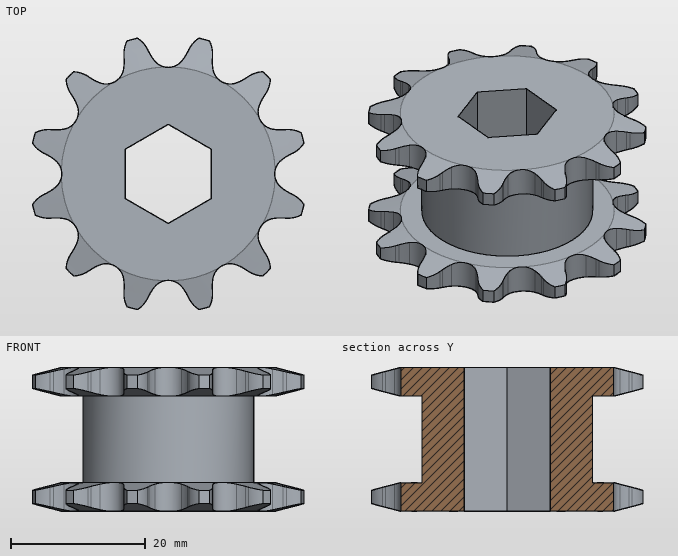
import cadquery as cq
import math

CHAIN_PITCH = 9.525
ROLLER_DIAMETER = 5.08
TOOTH_COUNT = 12
TIP_RADIUS = 20.655

PLATE_THICKNESS = 4.27
HUB_LENGTH = 3 * PLATE_THICKNESS
HUB_DIAMETER = 25.4
HEX_ACROSS_FLATS = 12.7
HEX_SIDES = 6

RELIEF_START_RADIUS = 15.875
TIP_THICKNESS = 1.97

TOOTH_ANGLE = 360 / TOOTH_COUNT
HALF_TOOTH_ANGLE = math.radians(TOOTH_ANGLE / 2)
PITCH_RADIUS = CHAIN_PITCH / (2 * math.sin(HALF_TOOTH_ANGLE))
UPPER_PLATE_Z = PLATE_THICKNESS + HUB_LENGTH
TOTAL_HEIGHT = UPPER_PLATE_Z + PLATE_THICKNESS

SEATING_CLEARANCE = 0.0762
SEATING_RADIUS = (1.005 * ROLLER_DIAMETER + SEATING_CLEARANCE) / 2
WORKING_CENTRE_DISTANCE = 0.8 * ROLLER_DIAMETER
WORKING_RADIUS = WORKING_CENTRE_DISTANCE + SEATING_RADIUS
TOPPING_CENTRE_DISTANCE = 1.4 * ROLLER_DIAMETER
SEATING_END_ANGLE = math.radians(35 + 60 / TOOTH_COUNT)
WORKING_SWEEP = math.radians(18 - 56 / TOOTH_COUNT)

CUT_OVERRUN = 1


def polar(centre, radius, angle):
    """Point at a radius and angle (radians) from a centre."""
    return (centre[0] + radius * math.cos(angle), centre[1] + radius * math.sin(angle))


def mirrored(point):
    """Point reflected in the Y axis."""
    return (-point[0], point[1])


def gap_cutter():
    """Space between two teeth, centred on the +Y axis."""
    roller_centre = (0, PITCH_RADIUS)
    working_centre = polar(roller_centre, WORKING_CENTRE_DISTANCE, SEATING_END_ANGLE)
    topping_centre = polar(roller_centre, TOPPING_CENTRE_DISTANCE, math.pi + HALF_TOOTH_ANGLE)

    start_angle = math.pi + SEATING_END_ANGLE
    end_angle = start_angle - WORKING_SWEEP
    seating_end = polar(working_centre, WORKING_RADIUS, start_angle)
    working_mid = polar(working_centre, WORKING_RADIUS, (start_angle + end_angle) / 2)
    working_end = polar(working_centre, WORKING_RADIUS, end_angle)

    offset_x = topping_centre[0] - working_end[0]
    offset_y = topping_centre[1] - working_end[1]
    topping_radius = offset_x * math.cos(end_angle) + offset_y * math.sin(end_angle)
    topping_start_angle = end_angle - math.pi
    topping_start = polar(topping_centre, topping_radius, topping_start_angle)

    centre_radius = math.hypot(*topping_centre)
    centre_angle = math.atan2(topping_centre[1], topping_centre[0])
    squares_difference = TIP_RADIUS**2 - centre_radius**2 - topping_radius**2
    tip_angle = centre_angle - math.acos(squares_difference / (2 * centre_radius * topping_radius))
    topping_mid = polar(topping_centre, topping_radius, (topping_start_angle + tip_angle) / 2)
    tip = polar(topping_centre, topping_radius, tip_angle)
    overrun = (tip[0], TIP_RADIUS + CUT_OVERRUN)

    return (
        cq.Workplane("XY")
        .moveTo(*overrun)
        .lineTo(*tip)
        .threePointArc(topping_mid, topping_start)
        .lineTo(*working_end)
        .threePointArc(working_mid, seating_end)
        .threePointArc((0, PITCH_RADIUS - SEATING_RADIUS), mirrored(seating_end))
        .threePointArc(mirrored(working_mid), mirrored(working_end))
        .lineTo(*mirrored(topping_start))
        .threePointArc(mirrored(topping_mid), mirrored(tip))
        .lineTo(*mirrored(overrun))
        .close()
        .extrude(PLATE_THICKNESS)
    )


def toothed_plate():
    """Toothed plate with its lower face at Z = 0."""
    relief_depth = (PLATE_THICKNESS - TIP_THICKNESS) / 2
    plate = (
        cq.Workplane("XZ")
        .moveTo(0, 0)
        .lineTo(RELIEF_START_RADIUS, 0)
        .lineTo(TIP_RADIUS, relief_depth)
        .lineTo(TIP_RADIUS, PLATE_THICKNESS - relief_depth)
        .lineTo(RELIEF_START_RADIUS, PLATE_THICKNESS)
        .lineTo(0, PLATE_THICKNESS)
        .close()
        .revolve(360, (0, 0, 0), (0, 1, 0))
    )
    gap = gap_cutter()
    for index in range(TOOTH_COUNT):
        plate = plate.cut(gap.rotate((0, 0, 0), (0, 0, 1), index * TOOTH_ANGLE))
    return plate


def hub():
    """Round hub joining the two plates."""
    return (
        cq.Workplane("XY")
        .workplane(offset=PLATE_THICKNESS)
        .circle(HUB_DIAMETER / 2)
        .extrude(HUB_LENGTH)
    )


def hex_bore():
    """Hexagonal through bore with two corners on the Y axis."""
    across_corners = HEX_ACROSS_FLATS / math.cos(math.pi / HEX_SIDES)
    return (
        cq.Workplane("XY")
        .polygon(HEX_SIDES, across_corners)
        .extrude(TOTAL_HEIGHT)
        .rotate((0, 0, 0), (0, 0, 1), 90)
    )


plate = toothed_plate()
result = hub().union(plate).union(plate.translate((0, 0, UPPER_PLATE_Z))).cut(hex_bore())